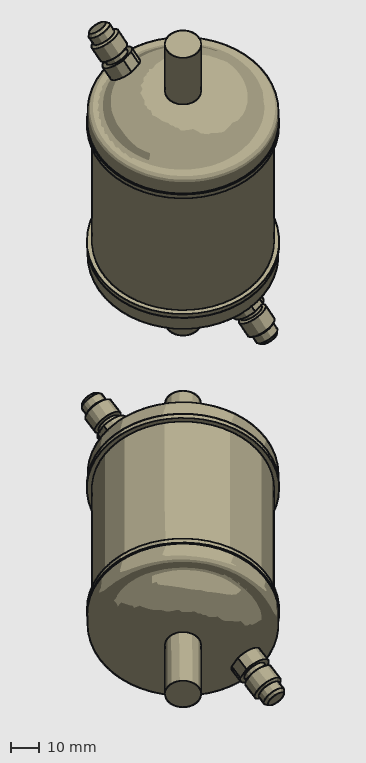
import cadquery as cq
import math

overall_length = 149.0
pipe_radius = 6.3
body_radius = 31.75
rim_radius = 33.5
rim_end_height = 31.0
rim_top_height = 33.0
rim_step_top_height = 33.45
cap_radius = 33.3
shoulder_height = 40.8
shoulder_fillet = 2.45
dome_height = 49.5
crown_radius = 10.85
dome_arc_radius = 21.9
dome_end_angle = 44.0
dome_root_radius = 3.0
dome_arc_centre_height = dome_height - dome_arc_radius

valve_angle = 50.0
valve_tip_distance = 40.15
valve_seat_overlap = 0.3
valve_face_radius = 3.4
valve_nose_radius = 4.35
valve_nose_chamfer = 1.2
valve_nose_length = 4.3
valve_thread_radius = 5.55
valve_thread_lead_in = 0.7
valve_thread_run_out = 0.5
valve_thread_end = 11.4
valve_neck_radius = 4.3
valve_neck_end = 13.2
valve_base_radius = 6.1
valve_base_across_flats = 11.3
valve_base_end = valve_tip_distance - dome_arc_radius + valve_seat_overlap


def arc_offset(angle, radius):
    """Sideways run and drop along an arc that leaves its top horizontally."""
    return radius * math.sin(angle), radius * (1 - math.cos(angle))


def make_cap():
    """Upper end cap: lipped wall, rounded shoulder and dome, turned about Z."""
    slope = math.radians(dome_end_angle)

    mid_run, mid_drop = arc_offset(slope / 2, dome_arc_radius)
    end_run, end_drop = arc_offset(slope, dome_arc_radius)
    root_mid_run, root_mid_rise = arc_offset(slope / 2, dome_root_radius)
    root_run, root_rise = arc_offset(slope, dome_root_radius)

    arc_end = (crown_radius + end_run, dome_height - end_drop)
    cone_drop = arc_end[1] - shoulder_height - root_rise
    cone_end = (arc_end[0] + cone_drop / math.tan(slope), shoulder_height + root_rise)
    root_end_radius = cone_end[0] + root_run
    fillet_centre = (cap_radius - shoulder_fillet, shoulder_height - shoulder_fillet)
    fillet_mid = (
        fillet_centre[0] + shoulder_fillet * math.sqrt(0.5),
        fillet_centre[1] + shoulder_fillet * math.sqrt(0.5),
    )

    profile = (
        cq.Workplane("XZ")
        .moveTo(0, rim_end_height)
        .lineTo(rim_radius, rim_end_height)
        .lineTo(rim_radius, rim_top_height)
        .lineTo(cap_radius, rim_step_top_height)
        .lineTo(cap_radius, fillet_centre[1])
        .threePointArc(fillet_mid, (fillet_centre[0], shoulder_height))
        .lineTo(root_end_radius, shoulder_height)
        .threePointArc((root_end_radius - root_mid_run, shoulder_height + root_mid_rise), cone_end)
        .lineTo(*arc_end)
        .threePointArc((crown_radius + mid_run, dome_height - mid_drop), (crown_radius, dome_height))
        .lineTo(0, dome_height)
        .close()
    )
    return profile.revolve(360, (0, 0, 0), (0, 1, 0))


def make_valve():
    """Upper service valve, leaning out of the dome toward -X."""
    turned_part = (
        cq.Workplane("XZ")
        .moveTo(0, 0)
        .lineTo(valve_face_radius, 0)
        .lineTo(valve_nose_radius, -valve_nose_chamfer)
        .lineTo(valve_nose_radius, -valve_nose_length)
        .lineTo(valve_thread_radius, -valve_nose_length - valve_thread_lead_in)
        .lineTo(valve_thread_radius, -valve_thread_end + valve_thread_run_out)
        .lineTo(valve_neck_radius, -valve_thread_end)
        .lineTo(valve_neck_radius, -valve_neck_end)
        .lineTo(0, -valve_neck_end)
        .close()
        .revolve(360, (0, 0, 0), (0, 1, 0))
    )
    base_length = valve_base_end - valve_neck_end
    base = cq.Workplane("XY").circle(valve_base_radius).extrude(base_length)
    flats = cq.Workplane("XY").rect(valve_base_across_flats, 2 * valve_base_radius).extrude(base_length)
    base = base.intersect(flats).translate((0, 0, -valve_base_end))
    valve = turned_part.union(base)

    tilt = math.radians(valve_angle)
    tip_x = -crown_radius - valve_tip_distance * math.cos(tilt)
    tip_z = dome_arc_centre_height + valve_tip_distance * math.sin(tilt)
    lean = valve_angle - 90
    return valve.rotate((0, 0, 0), (0, 1, 0), lean).translate((tip_x, 0, tip_z))


def make_centred_cylinder(radius, length):
    """Cylinder along Z, centred on the mid-plane."""
    return cq.Workplane("XY", origin=(0, 0, -length / 2)).circle(radius).extrude(length)


def make_shell():
    """Cylindrical body with the connection pipe along its axis."""
    body = make_centred_cylinder(body_radius, 2 * rim_end_height)
    pipe = make_centred_cylinder(pipe_radius, overall_length)
    return body.union(pipe)


upper_end = make_cap().union(make_valve())
lower_end = upper_end.rotate((0, 0, 0), (0, 1, 0), 180)

result = make_shell().union(upper_end).union(lower_end)